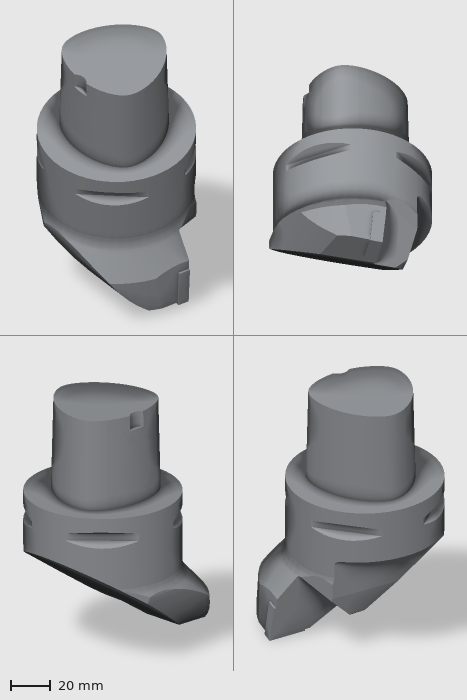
import cadquery as cq
import math


flange_radius = 80.0 / 2
total_height = 128.0
shank_height = 48.0
tip_z = shank_height - total_height
tip_x = 55.0
groove_count = 4
first_groove_angle = 45.0
groove_middle_z = -11.6
groove_depth = 4.5
groove_floor_width = 3.6
groove_mouth_width = 8.7

shank_mean_radius = 27.5
lobe_height = 2.0
shank_taper = 1 / 40
lobe_half_turn = 33.0
curve_steps = 10
notch_radius = 6.5
notch_axis_y = -28.5
notch_depth = 8.2

neck_z = -38.5
neck_middle = (40.7, -41.7)
flare_start_radius = 42.6
flare_start_z = -44.7
flare_end_radius = 53.5
flare_end_z = -57.1
head_bottom_radius = 54.8
slant_start_z = -25.9
slant_angle = 35.0
back_flat_y = 24.5
back_shoulder_z = -28.7
back_shoulder_edge_z = -27.5
back_corner_radius = 3.1
back_flat_end_z = -50.3
back_taper_end = (22.5, -63.0)
back_chamfer_end = (16.4, -67.2)
front_limit_y = -41.5
front_curve_start_z = -44.8
front_curve_middle = (-35.6, -61.5)
front_curve_end = (-22.9, -75.9)
front_bottom_y = -18.5
cutter_reach = 128.0

trim_distance = 40.2
pocket_trim_angle = 25.6
front_trim_angle = 241.6

rake_angle = 6.0
insert_angle = 80.0
insert_edge = 19.3
insert_thickness = 6.4
edge_lead = (90 - insert_angle) / 2
head_setback = 1.0
tip_y = -0.1
pocket_low_x = 18.2
pocket_low_z = -66.8
pocket_wall_angle = 45.0
pocket_corner_radius = 1.5
pocket_corner_y = 5.1

rake_slope = math.tan(math.radians(rake_angle))
rake_plane = cq.Plane(
    origin=(tip_x, tip_y, tip_z),
    xDir=(1, -rake_slope, 0),
    normal=(rake_slope, 1, -rake_slope),
)


def polar(length, angle):
    """Point at a distance and angle (degrees) from the origin."""
    turn = math.radians(angle)
    return length * math.cos(turn), length * math.sin(turn)


def lobed_point(mean_radius, angle, z):
    """Point of a constant-width outline where its outward normal has this angle."""
    turn = math.radians(angle)
    reach = mean_radius - lobe_height * math.sin(3 * turn)
    slide = -3 * lobe_height * math.cos(3 * turn)
    x = reach * math.cos(turn) - slide * math.sin(turn)
    y = reach * math.sin(turn) + slide * math.cos(turn)
    return cq.Vector(x, y, z)


def lobed_wire(mean_radius, z):
    """Closed outline of three lobes, one pointing to +Y, joined by three flatter sides."""
    edges = []
    for lobe_angle in (-30, 90, 210):
        lobe_start = lobe_angle - lobe_half_turn
        lobe_end = lobe_angle + lobe_half_turn
        joints = (lobe_start, lobe_end, lobe_start + 120)
        for start, end in zip(joints, joints[1:]):
            angles = [start + (end - start) * step / curve_steps for step in range(curve_steps + 1)]
            edges.append(cq.Edge.makeSpline([lobed_point(mean_radius, angle, z) for angle in angles]))
    return cq.Wire.assembleEdges(edges)


def make_shank():
    top_radius = shank_mean_radius - shank_height * shank_taper
    bottom = lobed_wire(shank_mean_radius, 0)
    top = lobed_wire(top_radius, shank_height)
    shank = cq.Workplane(cq.Solid.makeLoft([bottom, top], True))
    notch = (
        cq.Workplane("XY", origin=(0, notch_axis_y, shank_height))
        .circle(notch_radius)
        .extrude(-notch_depth)
    )
    return shank.cut(notch)


def make_head_blank():
    """Flange cylinder that flares out into a conical head."""
    return (
        cq.Workplane("XZ")
        .lineTo(flange_radius, 0)
        .lineTo(flange_radius, neck_z)
        .threePointArc(neck_middle, (flare_start_radius, flare_start_z))
        .lineTo(flare_end_radius, flare_end_z)
        .lineTo(head_bottom_radius, tip_z)
        .lineTo(0, tip_z)
        .close()
        .revolve(360, (0, 0), (0, 1))
    )


def make_side_envelope():
    """Outline of the head in Y and Z, swept along X."""
    return (
        cq.Workplane("YZ")
        .moveTo(front_limit_y, 0)
        .lineTo(front_limit_y, front_curve_start_z)
        .threePointArc(front_curve_middle, front_curve_end)
        .lineTo(front_bottom_y, tip_z)
        .lineTo(back_chamfer_end[0], tip_z)
        .lineTo(*back_chamfer_end)
        .lineTo(*back_taper_end)
        .lineTo(back_flat_y, back_flat_end_z)
        .lineTo(back_flat_y, back_shoulder_z - back_corner_radius)
        .radiusArc((back_flat_y + back_corner_radius, back_shoulder_z), back_corner_radius)
        .lineTo(flange_radius, back_shoulder_edge_z)
        .lineTo(flange_radius, 0)
        .close()
        .extrude(cutter_reach, both=True)
    )


def make_slant_cutter():
    """Everything below the slanted underside."""
    return (
        cq.Workplane("XY")
        .box(2 * cutter_reach, cutter_reach, cutter_reach, centered=(True, True, False))
        .translate((0, 0, -cutter_reach))
        .rotate((0, 0, 0), (0, 1, 0), slant_angle)
        .translate((-flange_radius, 0, slant_start_z))
    )


def make_corner(edge_length, setback, above, below):
    """Rhombic prism square to the rake face; in its plane +X is outward and +Y is down."""
    side = polar(edge_length, -90 - edge_lead)
    end = polar(edge_length, 180 + edge_lead)
    return (
        cq.Workplane(rake_plane)
        .workplane(offset=above)
        .moveTo(-setback, -setback)
        .line(*side)
        .line(*end)
        .line(-side[0], -side[1])
        .close()
        .extrude(-above - below)
    )


def make_above_rake():
    """Everything above the rake face."""
    return (
        cq.Workplane(rake_plane)
        .rect(2 * cutter_reach, 2 * cutter_reach)
        .extrude(cutter_reach)
    )


def make_pocket():
    """Chip pocket above the rake face, on the outer side of its slanted wall."""
    below_wall = (
        cq.Workplane("XY")
        .box(2 * cutter_reach, 2 * cutter_reach, cutter_reach, centered=(True, True, False))
        .translate((0, 0, -cutter_reach))
        .rotate((0, 0, 0), (0, 1, 0), -pocket_wall_angle)
        .translate((pocket_low_x, 0, pocket_low_z))
    )
    pocket = make_above_rake().intersect(below_wall)
    inner_edge = cq.selectors.NearestToPointSelector((pocket_low_x, pocket_corner_y, pocket_low_z))
    return pocket.edges(inner_edge).fillet(pocket_corner_radius)


def make_trim(angle):
    """Everything below the flange face that lies beyond an upright flat facing this angle."""
    return (
        cq.Workplane("XY")
        .box(cutter_reach, 2 * cutter_reach, cutter_reach, centered=(False, True, False))
        .translate((trim_distance, 0, -cutter_reach))
        .rotate((0, 0, 0), (0, 0, 1), angle)
    )


def make_groove(angle):
    """Straight trapezoidal groove across the flange at one angle."""
    floor = flange_radius - groove_depth
    return (
        cq.Workplane("XZ")
        .moveTo(floor, groove_middle_z - groove_floor_width / 2)
        .lineTo(flange_radius, groove_middle_z - groove_mouth_width / 2)
        .lineTo(flange_radius, groove_middle_z + groove_mouth_width / 2)
        .lineTo(floor, groove_middle_z + groove_floor_width / 2)
        .close()
        .extrude(flange_radius, both=True)
        .rotate((0, 0, 0), (0, 0, 1), angle)
    )


def make_insert():
    return make_corner(insert_edge, 0, 0, insert_thickness)


def make_holder(insert):
    holder = make_head_blank().intersect(make_side_envelope())
    holder = holder.cut(make_slant_cutter())
    holder = holder.intersect(make_corner(2 * cutter_reach, head_setback, cutter_reach, cutter_reach))
    holder = holder.cut(make_pocket())
    holder = holder.cut(make_trim(pocket_trim_angle).intersect(make_above_rake()))
    holder = holder.cut(make_trim(front_trim_angle))
    for index in range(groove_count):
        holder = holder.cut(make_groove(first_groove_angle + index * 360 / groove_count))
    return holder.union(make_shank()).cut(insert)


insert = make_insert()
holder = make_holder(insert)
result = cq.Compound.makeCompound([holder.solids().val(), insert.val()])